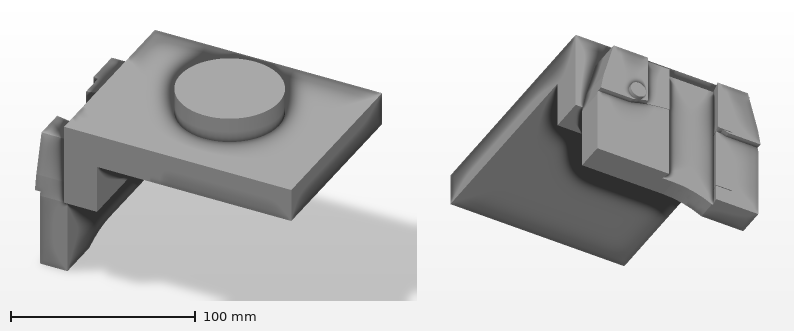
import cadquery as cq
import math


plate_length = 138.0
bracket_width = 108.0
wall = 20.0
leg_height = 49.0

boss_diameter = 60.0
boss_height = 15.0
boss_x = 73.0

jaw_thickness = 20.0
recess_thickness = 17.0
lower_thickness = 16.7
groove_floor_thickness = 11.7

jaw_width = 100.0
jaw_top_z = -16.7
taper_break_z = -40.0
taper_end_z = -51.7
steep_taper = math.radians(10)
wide_taper = math.radians(15)
jaw_bottom_z = -95.5

seat_radius = 52.0
relief_radius = 97.0
arc_center_z = -141.6
relief_bottom_z = -49.3

recess_wall_y = 20.3
groove_plus_y = 5.4
groove_minus_y = -23.0
plus_wall_angle = math.radians(15)
minus_wall_angle = math.radians(12)

slit_height = 0.5
slits = [(-48.0, -32.0), (-85.8, -33.7)]

pin_diameter = 9.5
pin_length = 2.75
pin_y = 27.8
pin_z = -43.9


def yz_prism(outline, thickness):
    """Extrude a closed YZ outline outward (-X) from the leg face."""
    return outline.extrude(-thickness)


def make_bracket():
    profile = [
        (0, 0),
        (plate_length, 0),
        (plate_length, -wall),
        (wall, -wall),
        (wall, -leg_height),
        (0, -leg_height),
    ]
    return cq.Workplane("XZ").polyline(profile).close().extrude(bracket_width / 2, both=True)


def make_boss():
    return cq.Workplane("XY").center(boss_x, 0).circle(boss_diameter / 2).extrude(boss_height)


def make_jaw_outline():
    """Full-thickness jaw: tapered flanks, and a bottom edge hollowed by the seat arc."""
    side_y = jaw_width / 2
    break_y = side_y - (taper_break_z - taper_end_z) * math.tan(steep_taper)
    top_y = break_y - (jaw_top_z - taper_break_z) * math.tan(wide_taper)

    seat_top_z = arc_center_z + seat_radius
    bottom_rise = jaw_bottom_z - arc_center_z
    seat_end_y = -math.sqrt(seat_radius**2 - bottom_rise**2)
    seat_mid_y = seat_end_y / 2
    seat_mid_z = arc_center_z + math.sqrt(seat_radius**2 - seat_mid_y**2)

    outline = (
        cq.Workplane("YZ")
        .moveTo(0, seat_top_z)
        .threePointArc((seat_mid_y, seat_mid_z), (seat_end_y, jaw_bottom_z))
        .lineTo(-side_y, jaw_bottom_z)
        .lineTo(-side_y, taper_end_z)
        .lineTo(-break_y, taper_break_z)
        .lineTo(-top_y, jaw_top_z)
        .lineTo(top_y, jaw_top_z)
        .lineTo(break_y, taper_break_z)
        .lineTo(side_y, taper_end_z)
        .lineTo(side_y, seat_top_z)
        .close()
    )
    return yz_prism(outline, jaw_thickness)


def make_relief():
    """Layer removed in front of the lower face, bounded above by a flat edge and the relief arc."""
    depth = jaw_thickness - lower_thickness
    face = cq.Workplane("YZ", origin=(-lower_thickness, 0, 0))
    arc_zone = face.center(0, arc_center_z).circle(relief_radius).extrude(-depth)
    flat_height = relief_bottom_z - jaw_bottom_z
    flat_zone = (
        face.center(0, relief_bottom_z - flat_height / 2)
        .rect(jaw_width, flat_height)
        .extrude(-depth)
    )
    return arc_zone.union(flat_zone)


def make_groove():
    """Stepped vertical channel with undercut walls, open at the top and bottom."""
    step_depth = jaw_thickness - recess_thickness
    groove_depth = recess_thickness - groove_floor_thickness
    full_depth = step_depth + groove_depth
    recess_floor_y = recess_wall_y - step_depth * math.tan(plus_wall_angle)
    plus_floor_y = groove_plus_y + groove_depth * math.tan(plus_wall_angle)
    minus_floor_y = groove_minus_y - full_depth * math.tan(minus_wall_angle)
    section = [
        (-jaw_thickness, recess_wall_y),
        (-recess_thickness, recess_floor_y),
        (-recess_thickness, groove_plus_y),
        (-groove_floor_thickness, plus_floor_y),
        (-groove_floor_thickness, minus_floor_y),
        (-jaw_thickness, groove_minus_y),
    ]
    bottom = cq.Workplane("XY", origin=(0, 0, jaw_bottom_z))
    return bottom.polyline(section).close().extrude(jaw_top_z - jaw_bottom_z)


def make_slit(mid_z, end_y):
    """Thin slot from the groove into its -Y wall, as deep as the groove."""
    length = groove_minus_y - end_y
    depth = jaw_thickness - groove_floor_thickness
    center_x = -(jaw_thickness + groove_floor_thickness) / 2
    slit = cq.Workplane("XY").box(depth, length, slit_height)
    return slit.translate((center_x, end_y + length / 2, mid_z))


def make_pin():
    outline = cq.Workplane("YZ").center(pin_y, pin_z).circle(pin_diameter / 2)
    return yz_prism(outline, jaw_thickness + pin_length)


def make_jaw():
    jaw = make_jaw_outline().cut(make_relief()).cut(make_groove())
    for mid_z, end_y in slits:
        jaw = jaw.cut(make_slit(mid_z, end_y))
    return jaw.union(make_pin())


result = make_bracket().union(make_boss()).union(make_jaw())